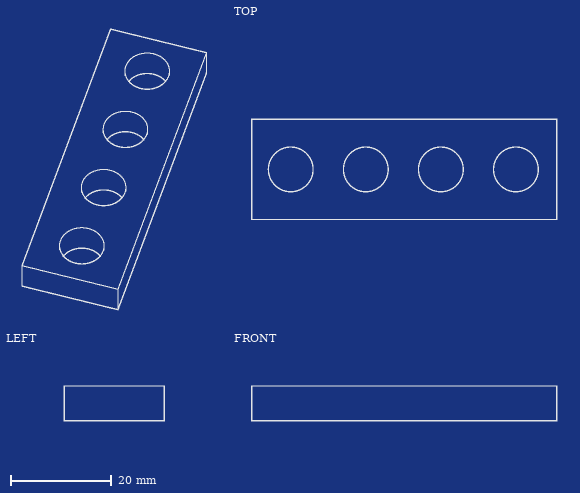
import cadquery as cq

length = 60.95
width = 20.05
thickness = 7.0

hole_diameter = 8.9
hole_count = 4
hole_pitch = 15.0
first_hole_from_end = 7.8

plate = cq.Workplane("XY").box(length, width, thickness)

first_hole_x = -length / 2 + first_hole_from_end
hole_centers = [(first_hole_x + i * hole_pitch, 0) for i in range(hole_count)]

result = plate.faces(">Z").workplane().pushPoints(hole_centers).hole(hole_diameter)